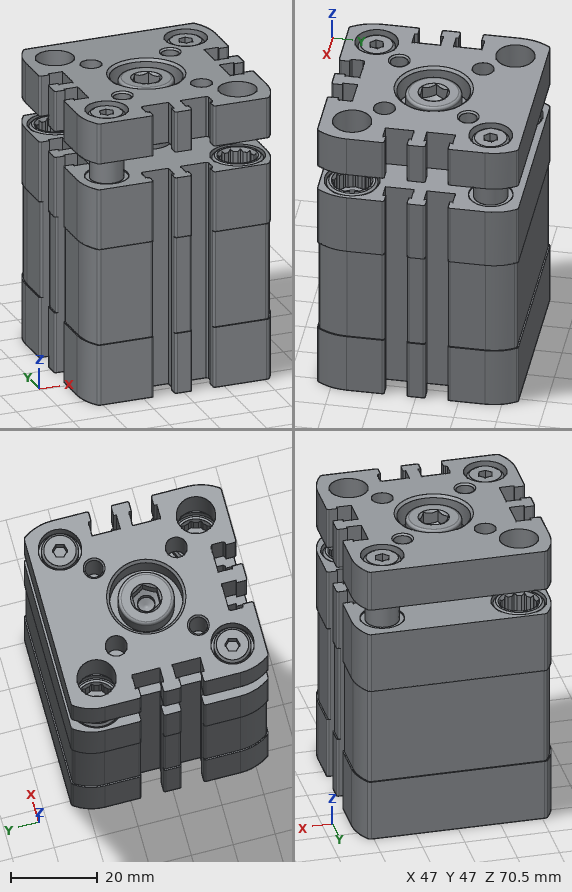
import cadquery as cq
import math

HALF_WIDTH = 47.0 / 2
PLATE_THICKNESS = 10.0
PLATE_GAP = 6.5
TOTAL_HEIGHT = 70.5
PLATE_BOTTOM = TOTAL_HEIGHT - PLATE_THICKNESS
HOUSING_HEIGHT = PLATE_BOTTOM - PLATE_GAP
CAP_HEIGHT = 15.0
BARREL_INSET = 0.35
CUT_MARGIN = 0.7

CORNER_ARC_RADIUS = 12.0
CORNER_ARC_START = 16.2
CORNER_FILLET = 1.0

LIP_OUTER = 7.5
LIP_INNER = 2.1
POCKET_OUTER_SIDE = 8.2
POCKET_OUTER_FRONT = 8.3
POCKET_INNER = 1.5
POCKET_TOP = 21.0
POCKET_BOTTOM = 17.55
LIP_FILLET = 0.5
POCKET_CHAMFER = 0.4

CORNER_OFFSET = 16.2
GUIDE_CORNERS = [(CORNER_OFFSET, CORNER_OFFSET), (-CORNER_OFFSET, -CORNER_OFFSET)]
BOLT_CORNERS = [(-CORNER_OFFSET, CORNER_OFFSET), (CORNER_OFFSET, -CORNER_OFFSET)]

ROD_DIAMETER = 12.0
ROD_ACROSS_FLATS = 10.0
FLAT_HEIGHT = 4.8
FLAT_RUNOUT = 0.55
GUIDE_DIAMETER = 8.0
ROD_END = HOUSING_HEIGHT - CAP_HEIGHT
GUIDE_SEAT_DIAMETER = 10.2
GUIDE_SEAT_DEPTH = 0.35

CENTER_RECESS_DIAMETER = 17.0
CENTER_RECESS_DEPTH = 6.0
CENTER_RECESS_CHAMFER = 0.6
CENTER_HEAD_DIAMETER = 13.0
CENTER_HEAD_DROP = 1.0
CENTER_HEAD_FILLET = 0.7
CENTER_HEX_FLATS = 6.0
CENTER_HEX_MOUTH = 7.2
CENTER_HEX_DEPTH = 3.0
CENTER_DRILL_DIAMETER = 4.0
CENTER_DRILL_DEPTH = 1.4
DRILL_TIP_SLOPE = math.tan(math.radians(30))

SCREW_RECESS_DIAMETER = 10.0
SCREW_RECESS_DEPTH = 3.0
SCREW_HEAD_DIAMETER = 8.6
SCREW_HEAD_DROP = 0.6
SCREW_HEAD_CHAMFER = 0.55
SCREW_HEX_FLATS = 3.0
SCREW_HEX_DEPTH = 2.1
SCREW_HEX_TURN = 15.0

SMALL_HOLE_OFFSET = 9.8
PIN_HOLE_DIAMETER = 5.0
THREAD_HOLE_DIAMETER = 4.15
BOLT_ACCESS_DIAMETER = 9.0

BOLT_RECESS_DIAMETER = 12.8
BOLT_RECESS_DEPTH = 6.0
BOLT_HEAD_DIAMETER = 11.9
BOLT_HEAD_CHAMFER = 0.55
BOLT_SOCKET_FLATS = 8.0
BOLT_SOCKET_ROUND = 8.6
BOLT_SOCKET_MOUTH = 9.6
BOLT_SOCKET_SINK = 1.0
BOLT_SOCKET_DEPTH = 5.0
BOLT_BORE_DIAMETER = 4.9
BOLT_BORE_MOUTH = 6.2


def cylinder(diameter, bottom, top, spots=((0, 0),)):
    """Upright cylinders of one diameter at the given spots."""
    plane = cq.Workplane("XY").workplane(offset=bottom)
    return plane.pushPoints(list(spots)).circle(diameter / 2).extrude(top - bottom)


def sinks(diameter, mouth_diameter, depth, top, spots=((0, 0),)):
    """Conical sinks that narrow from the mouth diameter at the top to the diameter at the depth."""
    cone = cq.Solid.makeCone(diameter / 2, mouth_diameter / 2, depth, pnt=cq.Vector(0, 0, top - depth))
    return cq.Workplane("XY").pushPoints(list(spots)).eachpoint(lambda place: cone.moved(place))


def hole_with_mouth(diameter, mouth_diameter, bottom, top, spots=((0, 0),)):
    """Upright holes whose upper rim is countersunk at 45 degrees to the mouth diameter."""
    sink_depth = (mouth_diameter - diameter) / 2
    return cylinder(diameter, bottom, top, spots).union(sinks(diameter, mouth_diameter, sink_depth, top, spots))


def hexagon(across_flats, bottom, top, spot=(0, 0), turn=0):
    """Upright hexagonal prism with a corner at the given angle from +X."""
    across_corners = across_flats / math.cos(math.radians(30))
    prism = cq.Workplane("XY").polygon(6, across_corners).extrude(top - bottom)
    return prism.rotate((0, 0, 0), (0, 0, 1), turn).translate((*spot, bottom))


def slot_pair(height, pocket_outer, pocket_chamfer=0):
    """The two T-slots of the -Y side, left and right of the central tongue."""
    mouth = HALF_WIDTH + CUT_MARGIN
    pocket = (
        cq.Workplane("XY")
        .moveTo(POCKET_INNER, -POCKET_BOTTOM)
        .lineTo(pocket_outer, -POCKET_BOTTOM)
        .lineTo(pocket_outer, -POCKET_TOP)
        .lineTo(POCKET_INNER, -POCKET_TOP)
        .close()
        .extrude(height)
    )
    if pocket_chamfer:
        pocket = pocket.edges("|Z and >X").chamfer(pocket_chamfer)
    throat = (
        cq.Workplane("XY")
        .moveTo(LIP_INNER, -POCKET_BOTTOM)
        .lineTo(LIP_OUTER, -POCKET_BOTTOM)
        .lineTo(LIP_OUTER, -mouth)
        .lineTo(LIP_INNER, -mouth)
        .close()
        .extrude(height)
    )
    slot = pocket.union(throat)
    return slot.union(slot.mirror("YZ"))


def fillet_lips(body, half):
    """Round the upright edges where the slots open on the -X, +X and -Y faces."""
    near = 0.1
    reach = LIP_OUTER + near
    for corner, opposite in (
        ((-reach, -half - near), (reach, -half + near)),
        ((-half - near, -reach), (-half + near, reach)),
        ((half - near, -reach), (half + near, reach)),
    ):
        face_zone = cq.selectors.BoxSelector((*corner, 0), (*opposite, TOTAL_HEIGHT))
        body = body.edges("|Z").edges(face_zone).fillet(LIP_FILLET)
    return body


def profile_block(height, inset=0):
    """Block with rounded corners and T-slots on the -X, +X and -Y sides, standing on Z = 0."""
    half = HALF_WIDTH - inset
    rise = HALF_WIDTH - CORNER_ARC_START - inset

    def arc_x(y_offset):
        run = CORNER_ARC_RADIUS - math.sqrt(CORNER_ARC_RADIUS**2 - y_offset**2)
        return half - run

    end_x = arc_x(rise)
    middle_x = arc_x(rise / 2)
    middle_y = CORNER_ARC_START + rise / 2
    body = (
        cq.Workplane("XY")
        .moveTo(half, -CORNER_ARC_START)
        .lineTo(half, CORNER_ARC_START)
        .threePointArc((middle_x, middle_y), (end_x, half))
        .lineTo(-end_x, half)
        .threePointArc((-middle_x, middle_y), (-half, CORNER_ARC_START))
        .lineTo(-half, -CORNER_ARC_START)
        .threePointArc((-middle_x, -middle_y), (-end_x, -half))
        .lineTo(end_x, -half)
        .threePointArc((middle_x, -middle_y), (half, -CORNER_ARC_START))
        .close()
        .extrude(height)
    )
    body = body.edges("|Z and (>Y or <Y)").fillet(CORNER_FILLET)
    side_slots = slot_pair(height, POCKET_OUTER_SIDE)
    body = body.cut(slot_pair(height, POCKET_OUTER_FRONT, POCKET_CHAMFER))
    body = body.cut(side_slots.rotate((0, 0, 0), (0, 0, 1), 90))
    body = body.cut(side_slots.rotate((0, 0, 0), (0, 0, 1), -90))
    return fillet_lips(body, half)


def housing():
    """Three-part profile with slides for the rods and two hollow bolts."""
    barrel_height = HOUSING_HEIGHT - 2 * CAP_HEIGHT
    cap = profile_block(CAP_HEIGHT)
    barrel = profile_block(barrel_height, BARREL_INSET)
    body = cap.union(barrel.translate((0, 0, CAP_HEIGHT)))
    body = body.union(cap.translate((0, 0, CAP_HEIGHT + barrel_height)))

    top = HOUSING_HEIGHT
    body = body.cut(cylinder(ROD_DIAMETER, ROD_END, top))
    body = body.cut(cylinder(GUIDE_DIAMETER, ROD_END, top, GUIDE_CORNERS))
    body = body.cut(cylinder(GUIDE_SEAT_DIAMETER, top - GUIDE_SEAT_DEPTH, top, GUIDE_CORNERS))

    recess_floor = top - BOLT_RECESS_DEPTH
    body = body.cut(cylinder(BOLT_RECESS_DIAMETER, recess_floor, top, BOLT_CORNERS))
    heads = cylinder(BOLT_HEAD_DIAMETER, recess_floor, top, BOLT_CORNERS)
    body = body.union(heads.faces(">Z").edges().chamfer(BOLT_HEAD_CHAMFER))

    socket_floor = top - BOLT_SOCKET_DEPTH
    for spot in BOLT_CORNERS:
        for turn in (0, 30):
            body = body.cut(hexagon(BOLT_SOCKET_FLATS, socket_floor, top, spot, turn))
    body = body.cut(cylinder(BOLT_SOCKET_ROUND, socket_floor, top, BOLT_CORNERS))
    body = body.cut(sinks(BOLT_SOCKET_ROUND, BOLT_SOCKET_MOUTH, BOLT_SOCKET_SINK, top, BOLT_CORNERS))
    return body.cut(hole_with_mouth(BOLT_BORE_DIAMETER, BOLT_BORE_MOUTH, 0, socket_floor, BOLT_CORNERS))


def flat_cutter():
    """Cutter for the wrench flat on the -Y side of the rod, with a sloped run-out."""
    flat = ROD_ACROSS_FLATS / 2
    flat_end = PLATE_BOTTOM - FLAT_HEIGHT
    return (
        cq.Workplane("YZ")
        .moveTo(-flat, PLATE_BOTTOM)
        .lineTo(-flat, flat_end)
        .lineTo(-ROD_DIAMETER / 2, flat_end - FLAT_RUNOUT)
        .lineTo(-ROD_DIAMETER / 2, PLATE_BOTTOM)
        .close()
        .extrude(ROD_DIAMETER / 2, both=True)
    )


def center_screw_head():
    """Round screw head in the central recess."""
    head = cylinder(CENTER_HEAD_DIAMETER, TOTAL_HEIGHT - CENTER_RECESS_DEPTH, TOTAL_HEIGHT - CENTER_HEAD_DROP)
    return head.faces(">Z").edges().fillet(CENTER_HEAD_FILLET)


def center_screw_socket():
    """Cutter for the hexagon socket with a countersunk mouth and a drill point below."""
    top = TOTAL_HEIGHT - CENTER_HEAD_DROP
    hex_radius = CENTER_HEX_FLATS / math.sqrt(3)
    drill_radius = CENTER_DRILL_DIAMETER / 2
    hex_floor = top - CENTER_HEX_DEPTH
    drill_top = hex_floor - (hex_radius - drill_radius) * DRILL_TIP_SLOPE
    drill_floor = drill_top - CENTER_DRILL_DEPTH
    drilled = (
        cq.Workplane("XZ")
        .moveTo(0, top)
        .lineTo(hex_radius, top)
        .lineTo(hex_radius, hex_floor)
        .lineTo(drill_radius, drill_top)
        .lineTo(drill_radius, drill_floor)
        .lineTo(0, drill_floor - drill_radius * DRILL_TIP_SLOPE)
        .close()
        .revolve(360, (0, 0, 0), (0, 1, 0))
    )
    socket = drilled.intersect(hexagon(CENTER_HEX_FLATS, 0, top))
    sink_depth = (CENTER_HEX_MOUTH - CENTER_HEX_FLATS) / 2
    return socket.union(sinks(CENTER_HEX_FLATS, CENTER_HEX_MOUTH, sink_depth, top))


def guide_screws():
    """Heads of the two screws that hold the guide rods."""
    top = TOTAL_HEIGHT - SCREW_HEAD_DROP
    heads = cylinder(SCREW_HEAD_DIAMETER, TOTAL_HEIGHT - SCREW_RECESS_DEPTH, top, GUIDE_CORNERS)
    heads = heads.faces(">Z").edges().chamfer(SCREW_HEAD_CHAMFER)
    for spot in GUIDE_CORNERS:
        heads = heads.cut(hexagon(SCREW_HEX_FLATS, top - SCREW_HEX_DEPTH, top, spot, SCREW_HEX_TURN))
    return heads


def slide():
    """End plate with its piston rod, guide rods and screws."""
    body = profile_block(PLATE_THICKNESS).translate((0, 0, PLATE_BOTTOM))
    rod = cylinder(ROD_DIAMETER, ROD_END, PLATE_BOTTOM)
    flat = flat_cutter()
    body = body.union(rod.cut(flat).cut(flat.mirror("XZ")))
    body = body.union(cylinder(GUIDE_DIAMETER, ROD_END, PLATE_BOTTOM, GUIDE_CORNERS))

    recess_mouth = CENTER_RECESS_DIAMETER + 2 * CENTER_RECESS_CHAMFER
    recess_floor = TOTAL_HEIGHT - CENTER_RECESS_DEPTH
    body = body.cut(hole_with_mouth(CENTER_RECESS_DIAMETER, recess_mouth, recess_floor, TOTAL_HEIGHT))
    screw_floor = TOTAL_HEIGHT - SCREW_RECESS_DEPTH
    body = body.cut(cylinder(SCREW_RECESS_DIAMETER, screw_floor, TOTAL_HEIGHT, GUIDE_CORNERS))
    body = body.union(center_screw_head()).cut(center_screw_socket())
    body = body.union(guide_screws())

    near = SMALL_HOLE_OFFSET
    thread_spots = [(near, near), (-near, -near)]
    pin_spots = [(-near, near), (near, -near)]
    body = body.cut(hole_with_mouth(THREAD_HOLE_DIAMETER, PIN_HOLE_DIAMETER, PLATE_BOTTOM,
                                    TOTAL_HEIGHT, thread_spots))
    body = body.cut(cylinder(PIN_HOLE_DIAMETER, PLATE_BOTTOM, TOTAL_HEIGHT, pin_spots))
    return body.cut(cylinder(BOLT_ACCESS_DIAMETER, PLATE_BOTTOM, TOTAL_HEIGHT, BOLT_CORNERS))


result = cq.Compound.makeCompound([housing().val(), slide().val()])